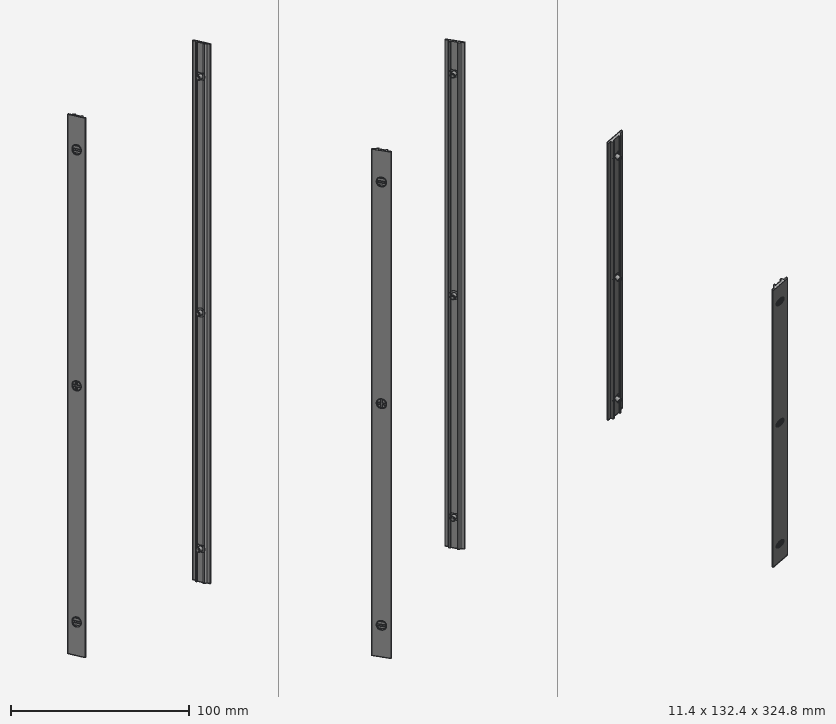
import cadquery as cq

strip_length = 324.82
strip_width = 11.4
outer_span = 132.4
outer_face = outer_span / 2

flange_thickness = 1.0
rail_foot = 3.85
rail_knee = 3.4
rail_knee_height = 1.7
rail_top = 2.9
rail_height = 2.4
groove_width = 4.2
groove_floor = 1.6

peg_reach = 142.2
head_diameter = 6.0
head_thickness = 0.5
neck_diameter = 5.5
neck_flats = 4.2
shank_diameter = 3.0
peg_length = 5.0
tip_chamfer = 0.5
slot_width = 1.1
slot_depth = 0.5


def disc(diameter, start, end):
    """Cylinder along Y between two heights above the outer face at Y = 0."""
    return cq.Workplane("XZ", origin=(0, start, 0)).circle(diameter / 2).extrude(start - end)


def block(width, height, start, end):
    """Box centred on the peg axis, between two heights above the outer face at Y = 0."""
    return cq.Workplane("XY").box(width, end - start, height).translate((0, (start + end) / 2, 0))


def make_seat(is_middle):
    """Head and neck: the peg's part inside the strip, and the shape of its hole."""
    neck = disc(neck_diameter, head_thickness, groove_floor)
    if not is_middle:
        neck = neck.intersect(block(neck_diameter, neck_flats, 0, groove_floor))
    return disc(head_diameter, 0, head_thickness).union(neck)


def make_peg(is_middle):
    """Peg with one driving slot at the strip ends, and a cross slot in the middle."""
    shank = disc(shank_diameter, groove_floor, peg_length).faces(">Y").chamfer(tip_chamfer)
    peg = make_seat(is_middle).union(shank)
    peg = peg.cut(block(head_diameter, slot_width, 0, slot_depth))
    if is_middle:
        peg = peg.cut(block(slot_width, head_diameter, 0, slot_depth))
    return peg


def make_strip_blank():
    """Flange with two lengthwise rails and a groove between them, outer face at Y = 0."""
    half_section = [
        (strip_width / 2, 0),
        (strip_width / 2, flange_thickness),
        (rail_foot, flange_thickness),
        (rail_knee, rail_knee_height),
        (rail_top, rail_height),
        (groove_width / 2, rail_height),
        (groove_width / 2, groove_floor),
    ]
    mirrored_half = [(-x, y) for x, y in reversed(half_section)]
    section = cq.Workplane("XY", origin=(0, 0, -strip_length / 2)).polyline(half_section + mirrored_half)
    return section.close().extrude(strip_length)


strip = make_strip_blank()
pegs = []
for height in (-peg_reach, 0, peg_reach):
    is_middle = height == 0
    strip = strip.cut(make_seat(is_middle).translate((0, 0, height)))
    pegs.append(make_peg(is_middle).translate((0, 0, height)))

bodies = []
for turn in (0, 180):
    for part in [strip, *pegs]:
        placed = part.translate((0, -outer_face, 0)).rotate((0, 0, 0), (0, 0, 1), turn)
        bodies.append(placed.val())

result = cq.Compound.makeCompound(bodies)